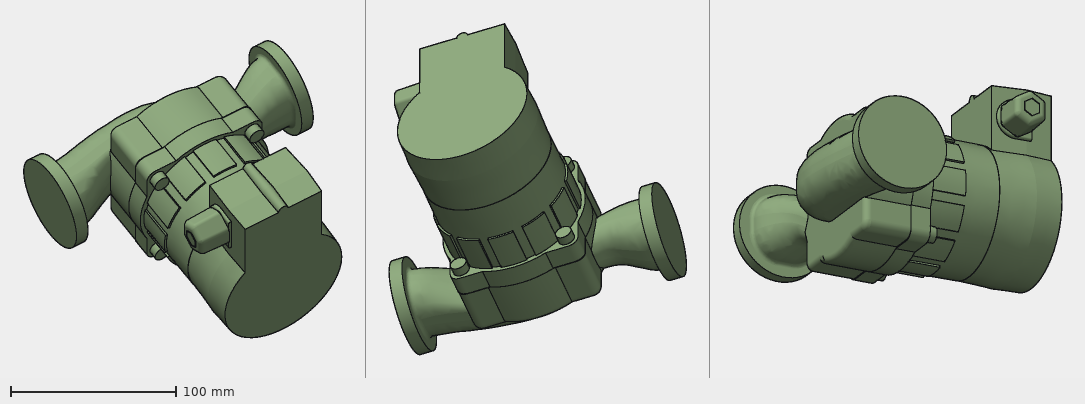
import cadquery as cq
import math


overall_length = 170.0
flange_diameter = 59.5
flange_thickness = 8.3
flange_inner_y = overall_length / 2 - flange_thickness
collar_fillet = 2.4
collar_length = 2.7
root_tolerance = 0.2
collar_end_y = flange_inner_y - collar_length

housing_front_x = -3.4
housing_back_x = 27.5
housing_half_y = 41.1
housing_half_z = 40.6
housing_corner_radius = 6.0
housing_edge_fillet = 4.2
body_disc_radius = 46.0

pipe_half_height = 19.9
pipe_rounding = 17.0
elbow_start_y = -7.8
elbow_outer_x = -28.9
elbow_inner_x = 17.0
elbow_bend_point = (-22.6, 12.2)

discharge_side_rounding = 0.4
discharge_corner_height = 0.8

mount_plate_back_x = 40.5
mount_plate_half_width = 41.3
mount_plate_corner_radius = 6.3
screw_head_radius = 5.1
screw_head_height = 5.8
screw_offset = 34.0
motor_back_x = 87.2
motor_front_radius = 42.3
motor_back_radius = 41.8
pad_count = 12
pad_angle = 22.0
pad_radius = 43.5
pad_back_x = 63.5

draft_angle = 2.4
parting_x = 112.0
module_back_x = 129.2
module_radius = 42.7
box_front_x = 88.9
box_half_width = 28.2
box_top_z = 74.6
rib_radius = 4.2
rib_top_z = 77.9

gland_x = 104.7
gland_z = 54.0
gland_plate_radius = 12.5
gland_plate_back_x = 114.8
gland_plate_y = -30.1
gland_plate_fillet = 1.4
gland_tip_y = -50.3
gland_across_flats = 21.6
gland_draft = 2.0
gland_edge_fillet = 2.9
gland_tip_fillet = 3.4
gland_boss_across_flats = 9.9
gland_boss_height = 0.5


def x_plane(x):
    """Plane across the motor axis: local x is Y, local y is Z, extruding toward +X."""
    return cq.Workplane("YZ", origin=(x, 0, 0))


def square_with_disc(front_x, back_x, half_y, half_z, corner_radius):
    """Rounded square block with a round disc bulging out of its four sides."""
    length = back_x - front_x
    block = x_plane(front_x).rect(2 * half_y, 2 * half_z).extrude(length)
    block = block.edges("|X").fillet(corner_radius)
    return block.union(x_plane(front_x).circle(body_disc_radius).extrude(length))


def pipe_section(y, z, left, right, half_height, left_round, right_round, corner_height, tilt=0.0):
    """Closed pipe section with flats on four sides and elliptical corners, tilted about X."""
    angle = math.radians(tilt)
    plane = cq.Plane(
        origin=(0, y, z), xDir=(1, 0, 0), normal=(0, -math.cos(angle), -math.sin(angle))
    )
    flat_left = left + left_round
    side = half_height - corner_height

    outline = (
        cq.Workplane(plane)
        .moveTo(flat_left, half_height)
        .lineTo(right - right_round, half_height)
        .ellipseArc(right_round, corner_height, 0, 90, sense=-1)
        .lineTo(right, -side)
        .ellipseArc(right_round, corner_height, 270, 360, sense=-1)
        .lineTo(flat_left, -half_height)
        .ellipseArc(left_round, corner_height, 180, 270, sense=-1)
        .lineTo(left, side)
        .ellipseArc(left_round, corner_height, 90, 180, sense=-1)
        .close()
    )
    return outline.val()


def pipe_flange(side):
    """Blank round flange at the end of a pipe; side is -1 or 1 along Y."""
    disc = cq.Workplane("XZ", origin=(0, side * flange_inner_y, 0)).circle(flange_diameter / 2)
    return disc.extrude(-side * flange_thickness)


def add_flange(pipe, side):
    """Join a pipe to its flange with a small fillet around the root."""
    joined = pipe.union(pipe_flange(side))
    reach = flange_diameter / 2
    root_y = side * flange_inner_y
    root = cq.selectors.BoxSelector(
        (-reach, root_y - root_tolerance, -reach), (reach, root_y + root_tolerance, reach)
    )
    return joined.edges(root).edges("not %CIRCLE").fillet(collar_fillet)


def suction_pipe():
    """Pipe from the -Y flange that bends into the middle of the housing front."""
    half = pipe_half_height
    stations = [
        (-flange_inner_y, -half, half, pipe_rounding),
        (-collar_end_y, -half, half, pipe_rounding),
        (-59.5, -22.3, 14.3, 12.5),
        (-45.9, -25.3, 6.8, 8.5),
        (-27.2, -28.2, 4.8, 8.5),
        (elbow_start_y, elbow_outer_x, 10.2, 8.5),
    ]
    sections = [
        pipe_section(y, 0, left, right, half, pipe_rounding, right_round, pipe_rounding)
        for y, left, right, right_round in stations
    ]
    run = cq.Workplane(cq.Solid.makeLoft(sections))
    elbow = (
        cq.Workplane("XY", origin=(0, 0, -half))
        .moveTo(elbow_outer_x, elbow_start_y)
        .spline(
            [elbow_bend_point, (housing_front_x, half)],
            tangents=[(0, 1), (1, 0)],
            includeCurrent=True,
        )
        .lineTo(elbow_inner_x, half)
        .lineTo(elbow_inner_x, elbow_start_y)
        .close()
        .extrude(2 * half)
    )
    elbow = elbow.faces("|Z").edges("%BSPLINE").fillet(pipe_rounding)
    return add_flange(run, -1).union(elbow)


def discharge_pipe():
    """Pipe from the +Y flange that narrows and turns down into the housing side."""
    stations = [
        (flange_inner_y, 0, -20.4, 20.9, 20.9, 0),
        (collar_end_y, 0, -20.4, 21.2, 20.9, 0),
        (59.3, -0.2, -13.5, 22.0, 17.5, 0),
        (48.5, -3.0, -7.8, 22.3, 14.0, 10),
        (35.7, -11.0, -1.7, 22.5, 12.2, 25),
    ]
    sections = []
    for y, z, left, right, half_height, tilt in stations:
        rounding = discharge_side_rounding * (right - left)
        corner_height = discharge_corner_height * half_height
        sections.append(
            pipe_section(y, z, left, right, half_height, rounding, rounding, corner_height, tilt)
        )
    return add_flange(cq.Workplane(cq.Solid.makeLoft(sections)), 1)


def pump_housing():
    """Casing with its front edge rounded, and both pipes with their flanges."""
    casing = square_with_disc(
        housing_front_x, housing_back_x, housing_half_y, housing_half_z, housing_corner_radius
    )
    casing = casing.faces("<X").edges().fillet(housing_edge_fillet)
    return casing.union(suction_pipe()).union(discharge_pipe())


def cooling_pad(angle):
    """One raised pad on the motor shell: a wedge of a disc at the given angle."""
    length = pad_back_x - mount_plate_back_x
    wedge_length = 2 * pad_radius
    wedge_half_width = wedge_length * math.tan(math.radians(pad_angle / 2))
    disc = x_plane(mount_plate_back_x).circle(pad_radius).extrude(length)
    wedge = (
        x_plane(mount_plate_back_x)
        .polyline([(0, 0), (wedge_length, -wedge_half_width), (wedge_length, wedge_half_width)])
        .close()
        .extrude(length)
    )
    return disc.intersect(wedge).rotate((0, 0, 0), (1, 0, 0), angle)


def motor():
    """Mounting plate, tapered shell with raised pads, and four screw heads."""
    plate = square_with_disc(
        housing_back_x,
        mount_plate_back_x,
        mount_plate_half_width,
        mount_plate_half_width,
        mount_plate_corner_radius,
    )
    shell = (
        x_plane(mount_plate_back_x)
        .circle(motor_front_radius)
        .workplane(offset=motor_back_x - mount_plate_back_x)
        .circle(motor_back_radius)
        .loft()
    )
    body = plate.union(shell)
    for i in range(pad_count):
        body = body.union(cooling_pad(i * 360 / pad_count))
    screws = (
        x_plane(mount_plate_back_x)
        .rect(2 * screw_offset, 2 * screw_offset, forConstruction=True)
        .vertices()
        .circle(screw_head_radius)
        .extrude(screw_head_height)
    )
    return body.union(screws)


def hexagon(y, across_flats):
    """Hexagon on the gland axis at the given Y, with one corner pointing up."""
    corner_angle = 30
    across_corners = across_flats / math.cos(math.radians(corner_angle))
    plane = cq.Workplane("XZ", origin=(gland_x, y, gland_z))
    return plane.transformed(rotate=(0, 0, corner_angle)).polygon(6, across_corners)


def cable_gland():
    """D-shaped plate on the box side with a tapered, rounded hexagonal nut on it."""
    flat_end = gland_plate_back_x - gland_x
    plate = (
        cq.Workplane("XZ", origin=(gland_x, 0, gland_z))
        .moveTo(flat_end, gland_plate_radius)
        .lineTo(0, gland_plate_radius)
        .threePointArc((-gland_plate_radius, 0), (0, -gland_plate_radius))
        .lineTo(flat_end, -gland_plate_radius)
        .close()
        .extrude(-gland_plate_y)
    )
    plate = plate.faces("<Y").edges("not >X").fillet(gland_plate_fillet)
    nut = hexagon(gland_plate_y, gland_across_flats).extrude(
        gland_plate_y - gland_tip_y, taper=gland_draft
    )
    nut = nut.faces("<Y").edges().fillet(gland_tip_fillet)
    reach = gland_across_flats
    long_edges = cq.selectors.BoxSelector(
        (gland_x - reach, gland_tip_y + gland_tip_fillet, gland_z - reach),
        (gland_x + reach, gland_plate_y - gland_plate_fillet, gland_z + reach),
    )
    nut = nut.edges(long_edges).fillet(gland_edge_fillet)
    boss = hexagon(gland_tip_y, gland_boss_across_flats).extrude(gland_boss_height)
    return plate.union(nut).union(boss)


def drafted_both_ways(outline, front_x):
    """Extrude an outline from the parting plane to both ends, narrowing at the draft angle."""
    back_half = outline.extrude(module_back_x - parting_x, combine=False, taper=draft_angle)
    front_half = outline.toPending().extrude(front_x - parting_x, combine=False, taper=draft_angle)
    return back_half.union(front_half)


def control_module():
    """Round end cover with a terminal box on top, a rib along the box and a cable gland."""
    cover_outline = x_plane(parting_x).circle(module_radius)
    box_outline = (
        x_plane(parting_x).center(0, box_top_z / 2).rect(2 * box_half_width, box_top_z)
    )
    rib_outline = x_plane(parting_x).center(0, rib_top_z - rib_radius).circle(rib_radius)
    return (
        drafted_both_ways(cover_outline, motor_back_x)
        .union(drafted_both_ways(box_outline, box_front_x))
        .union(drafted_both_ways(rib_outline, box_front_x))
        .union(cable_gland())
    )


result = cq.Compound.makeCompound(
    [pump_housing().val(), motor().val(), control_module().val()]
)